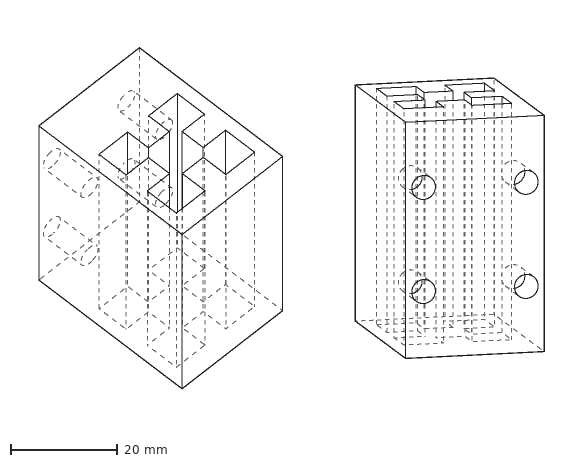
import cadquery as cq

BLOCK_LENGTH = 38.0
BLOCK_WIDTH = 27.0
BLOCK_HEIGHT = 45.4

MOUNT_WALL = 13.0
FAR_WALL = 4.5
SIDE_WALL = 3.0
AXIS_X = 23.0
TAB_WIDTH = 5.6
TAB_GAP = 9.0

HOLE_DIAMETER = 4.6
HOLE_SPACING = 20.0
HOLE_DEPTH = 10.0


def make_block():
    return cq.Workplane("XY").box(
        BLOCK_LENGTH, BLOCK_WIDTH, BLOCK_HEIGHT, centered=(False, True, True)
    )


def make_opening():
    """Rectangular prism with the four tabs left out of it."""
    opening_length = BLOCK_LENGTH - MOUNT_WALL - FAR_WALL
    opening_width = BLOCK_WIDTH - 2 * SIDE_WALL
    opening = (
        cq.Workplane("XY")
        .box(opening_length, opening_width, BLOCK_HEIGHT)
        .translate((MOUNT_WALL + opening_length / 2, 0, 0))
    )

    tabs = (
        cq.Workplane("XY")
        .box(BLOCK_LENGTH, TAB_WIDTH, BLOCK_HEIGHT)
        .union(cq.Workplane("XY").box(TAB_WIDTH, BLOCK_LENGTH, BLOCK_HEIGHT))
        .cut(cq.Workplane("XY").box(TAB_GAP, TAB_GAP, BLOCK_HEIGHT))
        .translate((AXIS_X, 0, 0))
    )
    return opening.cut(tabs)


def make_screw_holes():
    """Two by two cylinders running from the -X face in +X."""
    return (
        cq.Workplane("YZ")
        .rarray(HOLE_SPACING, HOLE_SPACING, 2, 2)
        .circle(HOLE_DIAMETER / 2)
        .extrude(HOLE_DEPTH)
    )


result = make_block().cut(make_opening()).cut(make_screw_holes())